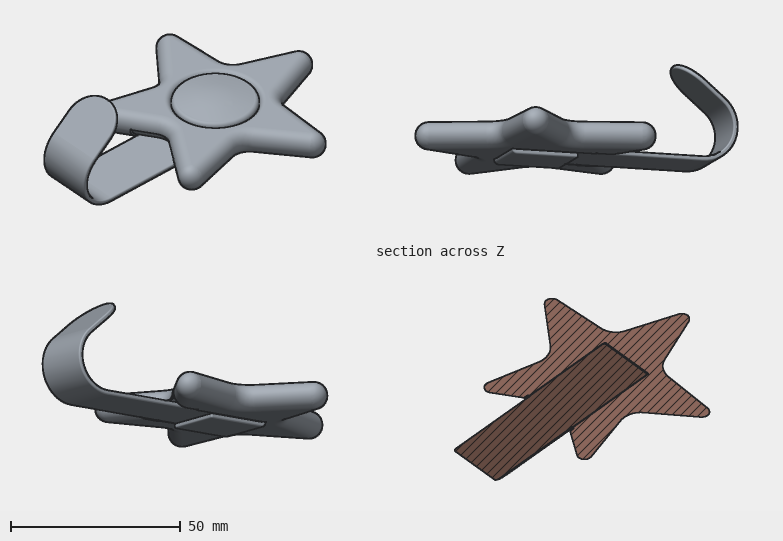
import cadquery as cq
import math

ARM_COUNT = 5
ARM_STEP = 360.0 / ARM_COUNT
TOP_ARM_ANGLE = 90.0
STAR_THICKNESS = 8.2
MID_Z = STAR_THICKNESS / 2
RIM_RADIUS = STAR_THICKNESS / 2
CORE_TIP_RADIUS = 33.0
CORE_NOTCH_RADIUS = 14.1
CORE_NOTCH_ROUND = 9.1

HALF_STEP = math.radians(ARM_STEP / 2)
TIP_HALF_ANGLE = math.degrees(math.atan2(CORE_NOTCH_RADIUS * math.sin(HALF_STEP),
                                         CORE_TIP_RADIUS - CORE_NOTCH_RADIUS * math.cos(HALF_STEP)))
NOTCH_HALF_ANGLE = TIP_HALF_ANGLE + ARM_STEP / 2
NOTCH_TANGENT = CORE_NOTCH_ROUND / math.tan(math.radians(NOTCH_HALF_ANGLE))
NOTCH_ARC_DISTANCE = (CORE_NOTCH_RADIUS - CORE_NOTCH_ROUND
                      + CORE_NOTCH_ROUND / math.sin(math.radians(NOTCH_HALF_ANGLE)))

BUTTON_RADIUS = 13.0
BUTTON_EDGE_ROUND = 1.5
DOME_RADIUS = BUTTON_RADIUS - BUTTON_EDGE_ROUND
DOME_BASE_Z = STAR_THICKNESS + 0.3
DOME_TOP_Z = STAR_THICKNESS + 1.7
POCKET_FLOOR_Z = 5.3
POCKET_EDGE_ROUND = 1.9

STRIP_WIDTH = 18.0
STRIP_THICKNESS = 1.5
STRIP_EDGE_ROUND = 0.5
HEM_END_Y = 10.0
HEM_FLAP_END_Y = -10.4
HOOK_END_Y = -60.0
BEND_RADIUS = 10.9
BEND_ANGLE = 140.0
TIP_LENGTH = 16.9

RELIEF_WIDTH = 19.1
RELIEF_DEPTH = 0.6


def polar(radius, angle):
    """Point in the XY plane at an angle in degrees from the X axis."""
    return cq.Vector(radius * math.cos(math.radians(angle)), radius * math.sin(math.radians(angle)), 0)


def half_disc(origin, outward, radius):
    """Upright half disc of a rim at mid height, bulging in the outward direction."""
    plane = cq.Plane(origin=(origin.x, origin.y, MID_Z), xDir=outward.toTuple(),
                     normal=outward.cross(cq.Vector(0, 0, 1)).toTuple())
    return (cq.Workplane(plane).moveTo(0, -radius)
            .threePointArc((radius, 0), (0, radius)).close())


def turned_rim(origin, outward, axis_distance, angle, radius):
    """Half disc turned about an upright axis ahead of its origin, half the angle to each side."""
    axis = origin + outward * axis_distance
    ring = half_disc(origin, outward, radius).revolve(angle, (axis_distance, 0, 0), (axis_distance, 1, 0))
    return ring.rotate(axis.toTuple(), (axis + cq.Vector(0, 0, 1)).toTuple(), -angle / 2)


def make_star_core(thickness):
    """Flat star with sharp tips and rounded notches, centred on mid height."""
    core = cq.Workplane("XY", origin=(0, 0, MID_Z - thickness / 2))
    core = core.moveTo(0, CORE_TIP_RADIUS)
    for arm in range(ARM_COUNT):
        tip_angle = TOP_ARM_ANGLE - arm * ARM_STEP
        notch_angle = tip_angle - ARM_STEP / 2
        tip = polar(CORE_TIP_RADIUS, tip_angle)
        next_tip = polar(CORE_TIP_RADIUS, tip_angle - ARM_STEP)
        notch = polar(CORE_NOTCH_RADIUS, notch_angle)
        arc_start = notch + (tip - notch).normalized() * NOTCH_TANGENT
        arc_middle = polar(NOTCH_ARC_DISTANCE, notch_angle)
        arc_end = notch + (next_tip - notch).normalized() * NOTCH_TANGENT
        core = (core.lineTo(arc_start.x, arc_start.y)
                .threePointArc((arc_middle.x, arc_middle.y), (arc_end.x, arc_end.y)))
        if arm < ARM_COUNT - 1:
            core = core.lineTo(next_tip.x, next_tip.y)
    return core.close().extrude(thickness)


def make_round_star(radius):
    """Star core with a half-round rim of the given radius along its whole outline."""
    notch_angle = TOP_ARM_ANGLE - ARM_STEP / 2
    tip = polar(CORE_TIP_RADIUS, TOP_ARM_ANGLE)
    side_outward = polar(1, TIP_HALF_ANGLE)
    side_length = (polar(CORE_NOTCH_RADIUS, notch_angle) - tip).Length - NOTCH_TANGENT
    right_side = half_disc(tip, side_outward, radius).extrude(side_length)
    left_side = right_side.mirror("YZ")
    tip_ball = turned_rim(tip, polar(1, TOP_ARM_ANGLE), 0, 180 - 2 * TIP_HALF_ANGLE, radius)
    notch_rim = turned_rim(polar(NOTCH_ARC_DISTANCE, notch_angle), polar(1, notch_angle),
                           CORE_NOTCH_ROUND, 180 - 2 * NOTCH_HALF_ANGLE, radius)
    star = make_star_core(2 * radius)
    for arm in range(ARM_COUNT):
        for piece in (right_side, left_side, tip_ball, notch_rim):
            star = star.union(piece.rotate((0, 0, 0), (0, 0, 1), arm * ARM_STEP))
    return star


def make_button_pocket():
    mouth_radius = BUTTON_RADIUS + POCKET_EDGE_ROUND
    round_start_z = STAR_THICKNESS - POCKET_EDGE_ROUND
    diagonal = POCKET_EDGE_ROUND * math.sqrt(0.5)
    return (cq.Workplane("XZ").moveTo(0, POCKET_FLOOR_Z).lineTo(BUTTON_RADIUS, POCKET_FLOOR_Z)
            .lineTo(BUTTON_RADIUS, round_start_z)
            .threePointArc((mouth_radius - diagonal, round_start_z + diagonal),
                           (mouth_radius, STAR_THICKNESS))
            .lineTo(0, STAR_THICKNESS).close().revolve(360, (0, 0, 0), (0, 1, 0)))


def block_under_star(width, start_y, end_y, height):
    return (cq.Workplane("XY").center(0, (start_y + end_y) / 2)
            .rect(width, end_y - start_y).extrude(height))


def make_star():
    strip_slot = block_under_star(STRIP_WIDTH, HOOK_END_Y, HEM_END_Y, STRIP_THICKNESS)
    relief = (block_under_star(RELIEF_WIDTH, HOOK_END_Y, -NOTCH_ARC_DISTANCE, MID_Z)
              .cut(make_round_star(RIM_RADIUS - RELIEF_DEPTH)))
    return make_round_star(RIM_RADIUS).cut(make_button_pocket()).cut(relief).cut(strip_slot)


def make_button():
    shoulder_z = DOME_BASE_Z - BUTTON_EDGE_ROUND
    diagonal = BUTTON_EDGE_ROUND * math.sqrt(0.5)
    round_middle = (DOME_RADIUS + diagonal, shoulder_z + diagonal)
    rise = DOME_TOP_Z - DOME_BASE_Z
    sphere_radius = (DOME_RADIUS ** 2 + rise ** 2) / (2 * rise)
    half_out = DOME_RADIUS / 2
    dome_middle_z = DOME_TOP_Z - sphere_radius + math.sqrt(sphere_radius ** 2 - half_out ** 2)
    return (cq.Workplane("XZ").moveTo(0, POCKET_FLOOR_Z).lineTo(BUTTON_RADIUS, POCKET_FLOOR_Z)
            .lineTo(BUTTON_RADIUS, shoulder_z)
            .threePointArc(round_middle, (DOME_RADIUS, DOME_BASE_Z))
            .threePointArc((half_out, dome_middle_z), (0, DOME_TOP_Z))
            .close().revolve(360, (0, 0, 0), (0, 1, 0)))


def strip_section(y, middle_z):
    """Cross-section of the strip, with rounded corners, facing -Y."""
    sketch = cq.Sketch().rect(STRIP_WIDTH, STRIP_THICKNESS).vertices().fillet(STRIP_EDGE_ROUND)
    return cq.Workplane("XZ", origin=(0, y, middle_z)).placeSketch(sketch)


def make_hook_tip():
    """Straight end of the hook, laid flat along -Y from the origin with its outer face at Z = 0."""
    half_width = STRIP_WIDTH / 2
    side_length = TIP_LENGTH - half_width
    tip = (cq.Workplane("XY").moveTo(-half_width, 0).lineTo(-half_width, -side_length)
           .threePointArc((0, -TIP_LENGTH), (half_width, -side_length))
           .lineTo(half_width, 0).close().extrude(STRIP_THICKNESS))
    return tip.faces("|Z").edges("not(>Y)").fillet(STRIP_EDGE_ROUND)


def make_hook():
    half_thickness = STRIP_THICKNESS / 2
    hem_y = HEM_END_Y - STRIP_THICKNESS
    bend_y = HOOK_END_Y + BEND_RADIUS
    flap_length = hem_y - HEM_FLAP_END_Y
    shank = strip_section(hem_y, half_thickness).extrude(hem_y - bend_y)
    flap = (strip_section(hem_y, -half_thickness).extrude(flap_length)
            .faces("<Y").edges("|X").fillet(STRIP_EDGE_ROUND))
    hem = (strip_section(hem_y, half_thickness)
           .revolve(180, (0, -half_thickness, 0), (-1, -half_thickness, 0)))
    bend_axis = BEND_RADIUS - half_thickness
    bend = (strip_section(bend_y, half_thickness)
            .revolve(BEND_ANGLE, (0, bend_axis, 0), (-1, bend_axis, 0)))
    tip = (make_hook_tip().translate((0, bend_y, 0))
           .rotate((0, bend_y, BEND_RADIUS), (1, bend_y, BEND_RADIUS), -BEND_ANGLE))
    return shank.union(flap).union(hem).union(bend).union(tip)


star = make_star()
button = make_button()
hook = make_hook()

result = cq.Compound.makeCompound([star.val(), button.val(), hook.val()])